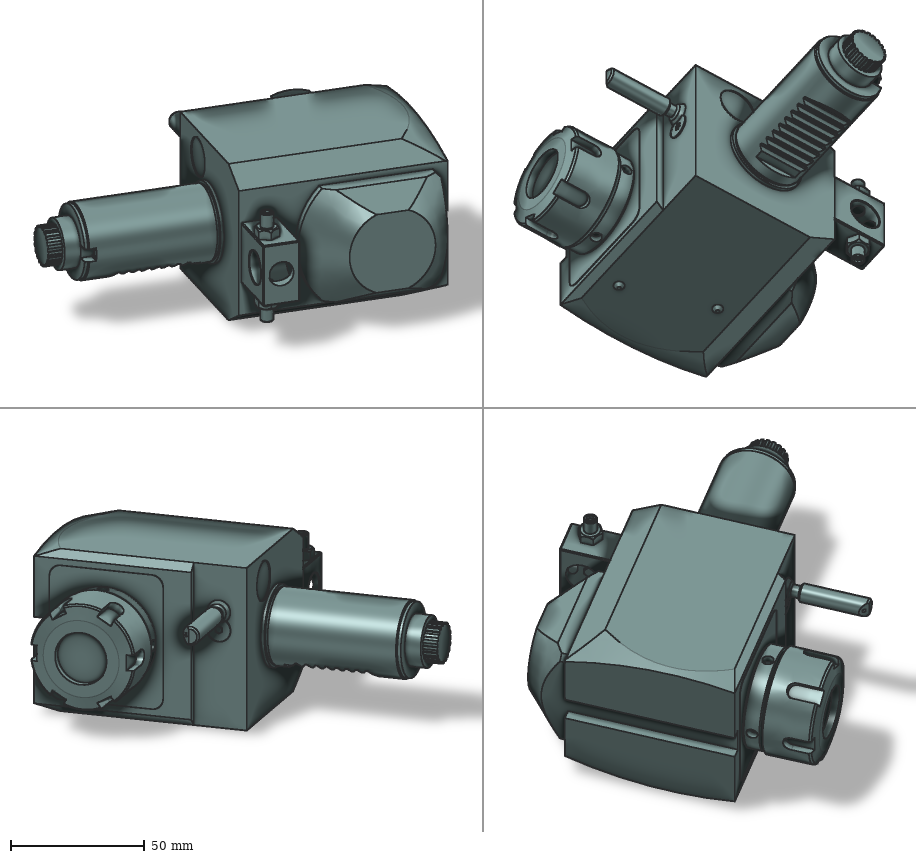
import cadquery as cq
import math


CLEARANCE = 1.5

HALF_SIDE = 32.0
BODY_DEPTH = 83.7
PAD_THICKNESS = 3.0
PAD_START_Y = 21.0
RIGHT_CHAMFER_X = 11.3
SLOPE_ANGLE = 30
CROWN_RADIUS = 146.8
CROWN_X = -9.4
CROWN_DEPTH = 3.0
CROWN_ANGLE = 15
BACK_SLOT_WIDTH = 10.0
BACK_SLOT_DEPTH = 4.0
PLUG_X = -12.7
PLUG_Z = 21.3
PLUG_RADIUS = 7.7
PLUG_DEPTH = 0.5

SHANK_RADIUS = 30.0 / 2
SHANK_END_Y = -55.3
FLANGE_RADIUS = 15.9
FLANGE_END_Y = -1.4
SHANK_RELIEF = 0.5
RELIEF_END_Y = -2.4
END_RELIEF_Y = -53.5
JOURNAL_RADIUS = 20.1 / 2
JOURNAL_END_Y = -61.6
OVERALL_LENGTH = 151
SPLINE_END_Y = BODY_DEPTH - OVERALL_LENGTH
SPLINE_RADIUS = 7.9
SPLINE_ROOT_RADIUS = 7.2
SPLINE_TEETH = 20
TOOTH_WIDTH = 1.2
KEY_WIDTH = 5.1
KEY_DEPTH = 4.5
KEY_POCKET_WIDTH = 4.0
KEY_POCKET_OUTER_X = 13.3
KEY_POCKET_DEPTH = 0.8

RACK_TIP_Z = -12.1
RACK_ROOT_Z = -10.7
RACK_START_Y = -7.0
RACK_END_Y = -41.7
RACK_GROOVES = 8
RACK_SPAN = 28.1
RACK_PITCH = RACK_SPAN / (RACK_GROOVES - 1)
RACK_FIRST_Y = -12.1
RACK_MOUTH = 3.3
RACK_FLOOR = 0.9

SPINDLE_Y = 54.8
NUT_RADIUS = 21.0
NUT_FACE_X = -63.9
NUT_FACE_RADIUS = 15.1
NUT_CONE_X = -62.5
NUT_CONE_RADIUS = 20.2
NUT_RIM_X = -61.6
NUT_RIM_RADIUS = 20.8
NUT_BACK_X = -43.5
NUT_BACK_BEVEL = 0.3
GROOVE_RADIUS = 16.5
NUT_BORE_RADIUS = 10.3
NUT_BORE_DEPTH = 3.0
NUT_SLOTS = 6
NUT_SLOT_WIDTH = 6.2
NUT_SLOT_FLOOR = 17.8
NUT_SLOT_END_X = -49.8
NUT_SIDE_SLOT_END_X = -51.5
COLLAR_HOLE_X = -39.0
COLLAR_HOLE_RADIUS = 4.4 / 2
COLLAR_HOLE_DEPTH = 3.0
COLLAR_HOLES = 4
COLLAR_RADIUS = 20.1
COLLAR_FRONT_X = -41.8
COLLAR_BACK_X = -35.8
COLLAR_BACK_BEVEL = 0.2
COLLAR_GAP_RADIUS = 19.5
SEAL_PLATE_WIDTH = 45.3
SEAL_PLATE_HEIGHT = 52.8
SEAL_PLATE_CORNER = 4.5
SEAL_PLATE_THICKNESS = 0.2

COVER_RADIUS = 32.3
COVER_STEP_X = 35.2
COVER_END_X = 50.3
COVER_HALF_HEIGHT = 23.0
COVER_SLOPE_X = 38.2

PIN_Y = 11.0
PIN_Z = 13.7
PIN_RADIUS = 3.6
PIN_TIP_X = -65.1
PIN_SHOULDER_X = -37.8
PIN_CHAMFER = 0.8
PIN_NECK_RADIUS = 2.4
PIN_NECK_END_X = -34.6
PIN_FLARE_X = -33.8
PIN_FLARE_RADIUS = 3.5
PIN_SEAT_RADIUS = 4.5
PIN_BEVEL_OFFSET = 0.5
PIN_HOLE_RADIUS = 0.8
PIN_HOLE_DEPTH = 3.0
HEAD_Z = 6.6
HEAD_RADIUS = 4.7
HEAD_HEIGHT = 0.5
HEAD_HEX_ACROSS_CORNERS = 3.0

BRACKET_END_X = 55.9
BRACKET_HALF_HEIGHT = 12.4
BRACKET_Y_MIN = 0.9
BRACKET_Y_MAX = 15.7
BRACKET_CHAMFER = 0.5
CROSS_HOLE_X = 46.8
CROSS_HOLE_RADIUS = 6.5
CROSS_HOLE_CHAMFER = 0.3
END_BORE_RADIUS = 4.8
SET_SCREW_Y = 5.7
SET_SCREW_RADIUS = 2.5
SET_SCREW_TOP = 22.2
SET_SCREW_CHAMFER = 0.5
SET_SCREW_TIP = 7.1
SET_SCREW_HEX_ACROSS_CORNERS = 3.0
SET_SCREW_SOCKET_DEPTH = 1.5
NUT_HEX_ACROSS_CORNERS = 9.7
NUT_HEX_HEIGHT = 4.0
NUT_HEX_BEVEL = 0.9

NIPPLES = [(-24.0, 61.0), (12.8, 48.9)]
NIPPLE_BASE_RADIUS = 2.1
NIPPLE_TIP_RADIUS = 0.8
NIPPLE_HEIGHT = 1.5


def box(x0, x1, y0, y1, z0, z1):
    return cq.Workplane("XY").box(x1 - x0, y1 - y0, z1 - z0, centered=False).translate((x0, y0, z0))


def turned_x(profile):
    """Solid of revolution about the X axis, from (x, radius) points."""
    return cq.Workplane("XY").polyline(profile).close().revolve(360, (0, 0, 0), (1, 0, 0))


def turned_y(profile):
    """Solid of revolution about the Y axis, from (radius, y) points."""
    return cq.Workplane("XY").polyline(profile).close().revolve(360, (0, 0, 0), (0, 1, 0))


def mirrored_z(shape):
    return shape.union(shape.mirror("XY"))


def crown_cone():
    """Large cone that bevels the upper back edge; the mirrored one bevels the lower edge."""
    taper = math.tan(math.radians(CROWN_ANGLE))
    reference_y = BODY_DEPTH - CROWN_DEPTH
    profile = [
        (0, 0),
        (CROWN_RADIUS + reference_y * taper, 0),
        (CROWN_RADIUS - CROWN_DEPTH * taper, BODY_DEPTH),
        (0, BODY_DEPTH),
    ]
    return turned_y(profile).translate((CROWN_X, 0, HALF_SIDE - CROWN_RADIUS))


def housing():
    right_height = HALF_SIDE - RIGHT_CHAMFER_X * math.tan(math.radians(SLOPE_ANGLE))
    side_height = HALF_SIDE - PAD_THICKNESS
    pad_x = -HALF_SIDE - PAD_THICKNESS
    section = [
        (-HALF_SIDE, HALF_SIDE),
        (HALF_SIDE - RIGHT_CHAMFER_X, HALF_SIDE),
        (HALF_SIDE, right_height),
        (HALF_SIDE, -right_height),
        (HALF_SIDE - RIGHT_CHAMFER_X, -HALF_SIDE),
        (-HALF_SIDE, -HALF_SIDE),
        (pad_x, -side_height),
        (pad_x, side_height),
    ]
    body = cq.Workplane("XZ").polyline(section).close().extrude(-BODY_DEPTH)
    body = body.cut(box(pad_x, -HALF_SIDE, 0, PAD_START_Y, -HALF_SIDE, HALF_SIDE))
    cone = crown_cone()
    body = body.intersect(cone).intersect(cone.mirror("XY"))
    half_slot = BACK_SLOT_WIDTH / 2
    body = body.cut(box(pad_x, HALF_SIDE, BODY_DEPTH - BACK_SLOT_DEPTH, BODY_DEPTH, -half_slot, half_slot))
    plug = cq.Workplane("XZ").center(PLUG_X, PLUG_Z).circle(PLUG_RADIUS).extrude(-PLUG_DEPTH)
    return body.cut(plug)


def rack_cutter():
    """Flat relief with trapezoidal grooves, running across the shank underside."""
    bottom = -SHANK_RADIUS - CLEARANCE
    run_out = RACK_TIP_Z - bottom
    relief = [
        (RACK_START_Y, bottom),
        (RACK_START_Y, RACK_TIP_Z),
        (RACK_END_Y, RACK_TIP_Z),
        (RACK_END_Y - run_out, bottom),
    ]
    cutter = cq.Workplane("YZ").polyline(relief).close().extrude(SHANK_RADIUS, both=True)
    for i in range(RACK_GROOVES):
        y = RACK_FIRST_Y - i * RACK_PITCH
        groove = [
            (y - RACK_MOUTH / 2, RACK_TIP_Z),
            (y - RACK_FLOOR / 2, RACK_ROOT_Z),
            (y + RACK_FLOOR / 2, RACK_ROOT_Z),
            (y + RACK_MOUTH / 2, RACK_TIP_Z),
        ]
        cutter = cutter.union(cq.Workplane("YZ").polyline(groove).close().extrude(SHANK_RADIUS, both=True))
    return cutter


def spline():
    length = JOURNAL_END_Y - SPLINE_END_Y
    shaft = cq.Workplane("XZ", origin=(0, JOURNAL_END_Y, 0)).circle(SPLINE_ROOT_RADIUS).extrude(length)
    teeth = (
        cq.Workplane("XZ", origin=(0, JOURNAL_END_Y, 0))
        .polarArray(SPLINE_ROOT_RADIUS, 0, 360, SPLINE_TEETH)
        .rect(2 * (SPLINE_RADIUS - SPLINE_ROOT_RADIUS), TOOTH_WIDTH)
        .extrude(length)
    )
    return shaft.union(teeth)


def shank():
    relief_radius = SHANK_RADIUS - SHANK_RELIEF
    profile = [
        (0, 0),
        (FLANGE_RADIUS, 0),
        (FLANGE_RADIUS, FLANGE_END_Y),
        (relief_radius, FLANGE_END_Y),
        (SHANK_RADIUS, RELIEF_END_Y),
        (SHANK_RADIUS, END_RELIEF_Y),
        (relief_radius, END_RELIEF_Y - SHANK_RELIEF),
        (relief_radius, SHANK_END_Y),
        (JOURNAL_RADIUS, SHANK_END_Y),
        (JOURNAL_RADIUS, JOURNAL_END_Y),
        (0, JOURNAL_END_Y),
    ]
    floor_y = SHANK_END_Y + KEY_DEPTH
    half_key = KEY_WIDTH / 2
    half_pocket = KEY_POCKET_WIDTH / 2
    key_slot = box(JOURNAL_RADIUS, FLANGE_RADIUS, SHANK_END_Y, floor_y, -half_key, half_key)
    key_pocket = box(
        JOURNAL_RADIUS, KEY_POCKET_OUTER_X, floor_y, floor_y + KEY_POCKET_DEPTH, -half_pocket, half_pocket
    )
    return turned_y(profile).cut(rack_cutter()).cut(key_slot).cut(key_pocket).union(spline())


def nut_slot_cutter(end_x):
    """Round-ended slot on the +Y side of the nut, from the nut face to end_x."""
    radius = NUT_SLOT_WIDTH / 2
    arc_x = end_x - radius
    start_x = NUT_FACE_X - CLEARANCE
    return (
        cq.Workplane("XZ", origin=(0, NUT_SLOT_FLOOR, 0))
        .moveTo(start_x, -radius)
        .lineTo(arc_x, -radius)
        .threePointArc((end_x, 0), (arc_x, radius))
        .lineTo(start_x, radius)
        .close()
        .extrude(-(NUT_RADIUS - NUT_SLOT_FLOOR + CLEARANCE))
    )


def spindle():
    pad_x = -HALF_SIDE - PAD_THICKNESS
    profile = [
        (NUT_FACE_X, 0),
        (NUT_FACE_X, NUT_FACE_RADIUS),
        (NUT_CONE_X, NUT_CONE_RADIUS),
        (NUT_RIM_X, NUT_RIM_RADIUS),
        (NUT_BACK_X, NUT_RADIUS),
        (NUT_BACK_X + NUT_BACK_BEVEL, GROOVE_RADIUS),
        (COLLAR_FRONT_X, GROOVE_RADIUS),
        (COLLAR_FRONT_X, COLLAR_RADIUS),
        (COLLAR_BACK_X, COLLAR_RADIUS),
        (COLLAR_BACK_X + COLLAR_BACK_BEVEL, COLLAR_GAP_RADIUS),
        (pad_x, COLLAR_GAP_RADIUS),
        (pad_x, 0),
    ]
    nose = turned_x(profile)
    bore = cq.Workplane("YZ", origin=(NUT_FACE_X, 0, 0)).circle(NUT_BORE_RADIUS).extrude(NUT_BORE_DEPTH)
    nose = nose.cut(bore)
    for i in range(NUT_SLOTS):
        faces_sideways = i % (NUT_SLOTS // 2) == 0
        slot = nut_slot_cutter(NUT_SIDE_SLOT_END_X if faces_sideways else NUT_SLOT_END_X)
        nose = nose.cut(slot.rotate((0, 0, 0), (1, 0, 0), i * 360 / NUT_SLOTS))
    hole = (
        cq.Workplane("XY", origin=(COLLAR_HOLE_X, 0, COLLAR_RADIUS - COLLAR_HOLE_DEPTH))
        .circle(COLLAR_HOLE_RADIUS)
        .extrude(COLLAR_HOLE_DEPTH + CLEARANCE)
    )
    for i in range(COLLAR_HOLES):
        nose = nose.cut(hole.rotate((0, 0, 0), (1, 0, 0), i * 360 / COLLAR_HOLES))
    plate = (
        cq.Workplane("YZ", origin=(pad_x, 0, 0))
        .rect(SEAL_PLATE_WIDTH, SEAL_PLATE_HEIGHT)
        .extrude(-SEAL_PLATE_THICKNESS)
        .edges("|X")
        .fillet(SEAL_PLATE_CORNER)
    )
    return nose.union(plate).translate((0, SPINDLE_Y, 0))


def cover():
    """45 degree cone, flattened at top, bottom and back."""
    end_radius = COVER_RADIUS - (COVER_END_X - COVER_STEP_X)
    cone = turned_x(
        [
            (HALF_SIDE, 0),
            (HALF_SIDE, COVER_RADIUS),
            (COVER_STEP_X, COVER_RADIUS),
            (COVER_END_X, end_radius),
            (COVER_END_X, 0),
        ]
    ).translate((0, SPINDLE_Y, 0))
    end_height = COVER_HALF_HEIGHT - (COVER_END_X - COVER_SLOPE_X) * math.tan(math.radians(SLOPE_ANGLE))
    outline = [
        (HALF_SIDE, COVER_HALF_HEIGHT),
        (COVER_SLOPE_X, COVER_HALF_HEIGHT),
        (COVER_END_X, end_height),
        (COVER_END_X, -end_height),
        (COVER_SLOPE_X, -COVER_HALF_HEIGHT),
        (HALF_SIDE, -COVER_HALF_HEIGHT),
    ]
    envelope = cq.Workplane("XZ").polyline(outline).close().extrude(-(BODY_DEPTH - BACK_SLOT_DEPTH))
    return cone.intersect(envelope)


def coolant_pin():
    seat_x = -HALF_SIDE
    rim_radius = PIN_RADIUS - PIN_CHAMFER
    pin = turned_x(
        [
            (PIN_TIP_X, 0),
            (PIN_TIP_X, rim_radius),
            (PIN_TIP_X + PIN_CHAMFER, PIN_RADIUS),
            (PIN_SHOULDER_X - PIN_CHAMFER, PIN_RADIUS),
            (PIN_SHOULDER_X, rim_radius),
            (PIN_SHOULDER_X, PIN_NECK_RADIUS),
            (PIN_NECK_END_X, PIN_NECK_RADIUS),
            (PIN_FLARE_X, PIN_FLARE_RADIUS),
            (seat_x, PIN_SEAT_RADIUS),
            (seat_x, 0),
        ]
    )
    bevel_width = PIN_RADIUS - PIN_BEVEL_OFFSET
    bevel = [
        (PIN_TIP_X, PIN_BEVEL_OFFSET),
        (PIN_TIP_X, PIN_RADIUS),
        (PIN_TIP_X + bevel_width, PIN_RADIUS),
    ]
    pin = pin.cut(cq.Workplane("XY").polyline(bevel).close().extrude(PIN_RADIUS, both=True))
    outlet_x = PIN_TIP_X + bevel_width / 2
    outlet_y = PIN_RADIUS - bevel_width / 2
    outlet_plane = cq.Plane(origin=(outlet_x, outlet_y, 0), xDir=(0, 0, 1), normal=(1, -1, 0))
    pin = pin.cut(cq.Workplane(outlet_plane).circle(PIN_HOLE_RADIUS).extrude(PIN_HOLE_DEPTH))
    return pin.translate((0, PIN_Y, PIN_Z))


def screw_head():
    head = cq.Workplane("YZ", origin=(-HALF_SIDE, PIN_Y, HEAD_Z)).circle(HEAD_RADIUS).extrude(-HEAD_HEIGHT)
    socket = (
        cq.Workplane("YZ", origin=(-HALF_SIDE, PIN_Y, HEAD_Z))
        .transformed(rotate=(0, 0, 90))
        .polygon(6, HEAD_HEX_ACROSS_CORNERS)
        .extrude(-HEAD_HEIGHT)
    )
    return head.cut(socket)


def set_screw():
    """Upper set screw with its lock nut."""
    screw = (
        cq.Workplane("XY", origin=(0, 0, SET_SCREW_TIP))
        .circle(SET_SCREW_RADIUS)
        .extrude(SET_SCREW_TOP - SET_SCREW_TIP)
        .faces(">Z")
        .chamfer(SET_SCREW_CHAMFER)
    )
    socket = (
        cq.Workplane("XY", origin=(0, 0, SET_SCREW_TOP))
        .polygon(6, SET_SCREW_HEX_ACROSS_CORNERS)
        .extrude(-SET_SCREW_SOCKET_DEPTH)
    )
    nut = (
        cq.Workplane("XY", origin=(0, 0, BRACKET_HALF_HEIGHT))
        .polygon(6, NUT_HEX_ACROSS_CORNERS)
        .extrude(NUT_HEX_HEIGHT)
    )
    corner_radius = NUT_HEX_ACROSS_CORNERS / 2
    blank = (
        cq.Workplane("XY", origin=(0, 0, BRACKET_HALF_HEIGHT))
        .circle(corner_radius)
        .extrude(NUT_HEX_HEIGHT)
        .faces(">Z")
        .chamfer(NUT_HEX_BEVEL)
    )
    screw = screw.cut(socket).union(nut.intersect(blank))
    return screw.translate((CROSS_HOLE_X, SET_SCREW_Y, 0))


def bracket():
    block = box(
        HALF_SIDE, BRACKET_END_X, BRACKET_Y_MIN, BRACKET_Y_MAX, -BRACKET_HALF_HEIGHT, BRACKET_HALF_HEIGHT
    )
    block = block.faces(">X or >Z or <Z").edges("not <X").chamfer(BRACKET_CHAMFER)
    hole = cq.Workplane("XZ").center(CROSS_HOLE_X, 0).circle(CROSS_HOLE_RADIUS).extrude(-BRACKET_Y_MAX)
    screw_bore = (
        cq.Workplane("XY")
        .center(CROSS_HOLE_X, SET_SCREW_Y)
        .circle(SET_SCREW_RADIUS)
        .extrude(SET_SCREW_TIP, both=True)
    )
    end_bore = (
        cq.Workplane("YZ", origin=(CROSS_HOLE_X, (BRACKET_Y_MIN + BRACKET_Y_MAX) / 2, 0))
        .circle(END_BORE_RADIUS)
        .extrude(BRACKET_END_X - CROSS_HOLE_X)
    )
    block = block.cut(hole).faces("<Y").edges("%CIRCLE").chamfer(CROSS_HOLE_CHAMFER)
    return block.cut(end_bore).cut(screw_bore).union(mirrored_z(set_screw()))


def nipple(x, y):
    cone = cq.Solid.makeCone(
        NIPPLE_BASE_RADIUS, NIPPLE_TIP_RADIUS, NIPPLE_HEIGHT, cq.Vector(x, y, -HALF_SIDE), cq.Vector(0, 0, -1)
    )
    return cq.Workplane(cone)


result = housing()
for feature in (shank(), spindle(), cover(), coolant_pin(), screw_head(), bracket()):
    result = result.union(feature)
for nipple_x, nipple_y in NIPPLES:
    result = result.union(nipple(nipple_x, nipple_y))